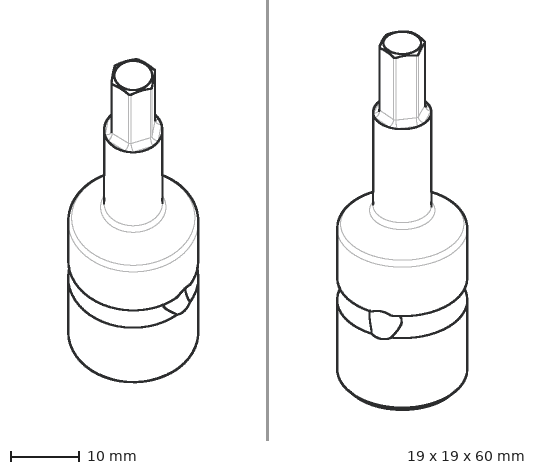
import cadquery as cq
import math

total_height = 60.0
body_diameter = 19.0
body_radius = body_diameter / 2
neck_radius = 4.25
neck_top = 47.5

base_chamfer_width = 0.9
base_chamfer_height = 1.1
groove_height = 15.6
groove_half_width = 2.0
groove_depth = 1.6
cross_hole_diameter = 5.0

shoulder_top = 30.05
shoulder_angle = math.radians(30)
shoulder_fillet = 1.0
shoulder_base = shoulder_top - (body_radius - neck_radius) * math.tan(shoulder_angle)

hex_across_flats = 6.0
hex_across_corners = hex_across_flats / math.cos(math.pi / 6)
hex_edge_fillet = 0.35
hex_root_fillet = 0.9
tip_flat_radius = 2.75
tip_chamfer_angle = math.radians(30)


def make_body():
    """Turned body with a ring groove, a rounded shoulder and a plain neck."""
    profile = (
        cq.Workplane("XZ")
        .lineTo(body_radius - base_chamfer_width, 0)
        .lineTo(body_radius, base_chamfer_height)
        .lineTo(body_radius, groove_height - groove_half_width)
        .threePointArc(
            (body_radius - groove_depth, groove_height),
            (body_radius, groove_height + groove_half_width),
        )
        .lineTo(body_radius, shoulder_base)
        .lineTo(neck_radius, shoulder_top)
        .lineTo(neck_radius, neck_top)
        .lineTo(0, neck_top)
        .close()
    )
    body = profile.revolve(360, (0, 0, 0), (0, 1, 0))
    margin = 0.05
    corner_zone = cq.selectors.BoxSelector(
        (-body_radius, -body_radius, shoulder_base - margin),
        (body_radius, body_radius, shoulder_top + margin),
    )
    return body.edges("%CIRCLE").edges(corner_zone).fillet(shoulder_fillet)


def make_hex_tip():
    """Hexagonal tip with rounded edges, a chamfered end and a flared root."""
    hexagon = (
        cq.Workplane("XY")
        .workplane(offset=neck_top)
        .polygon(6, hex_across_corners)
        .extrude(total_height - neck_top)
        .edges("|Z")
        .fillet(hex_edge_fillet)
    )
    flange_bottom = neck_top - hex_root_fillet
    flange = cq.Workplane("XY").workplane(offset=flange_bottom)
    flange = flange.circle(body_radius).extrude(hex_root_fillet)
    stepped = flange.union(hexagon)
    ledge = stepped.faces(cq.selectors.NearestToPointSelector((0, 0, neck_top))).val()
    root_edges = ledge.innerWires()[0].Edges()
    tip = stepped.newObject(root_edges).fillet(hex_root_fillet)
    return tip.intersect(make_tip_envelope(flange_bottom))


def make_tip_envelope(bottom):
    """Neck-sized cylinder whose top is coned to chamfer the hexagon corners."""
    cone_drop = (neck_radius - tip_flat_radius) * math.tan(tip_chamfer_angle)
    return (
        cq.Workplane("XZ")
        .moveTo(0, bottom)
        .lineTo(neck_radius, bottom)
        .lineTo(neck_radius, total_height - cone_drop)
        .lineTo(tip_flat_radius, total_height)
        .lineTo(0, total_height)
        .close()
        .revolve(360, (0, 0, 0), (0, 1, 0))
    )


def make_cross_hole():
    """Pin hole through the body along X at the height of the groove."""
    return (
        cq.Workplane("YZ")
        .center(0, groove_height)
        .circle(cross_hole_diameter / 2)
        .extrude(body_radius, both=True)
    )


result = make_body().union(make_hex_tip()).cut(make_cross_hole())